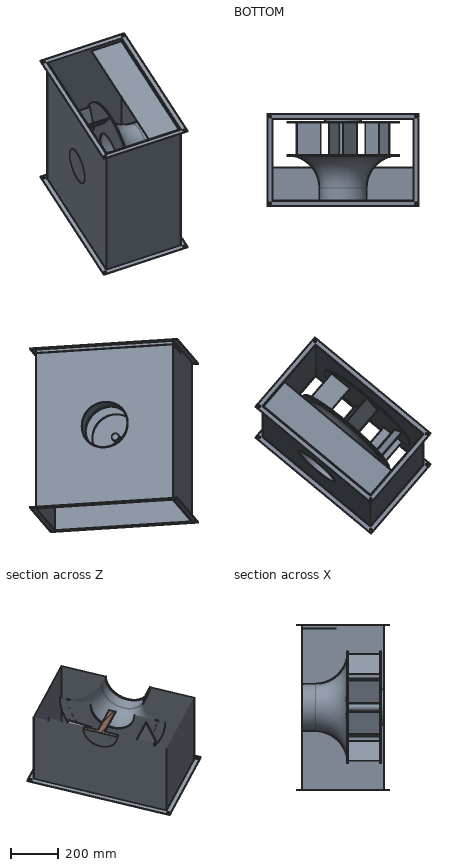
import cadquery as cq
import math

height = 700.0
flange_x = 640.0
flange_y = 390.0
flange_thickness = 3.0
duct_x = 598.0
duct_y = 348.0
wall = 3.0
bolt_hole_diameter = 8.5
bolt_hole_inset = 11.0

deck_front_y = 31.5
deck_depth = 15.0

throat_radius = 101.0
disc_radius = 236.5
disc_thickness = 5.5
shroud_back_y = -16.0
backplate_back_y = -156.0
hub_radius = 76.0
shaft_radius = 15.5
blade_count = 6
blade_tip_radius = 225.5
blade_inner_x = -59.0
blade_inner_z = 141.5
blade_thickness = 3.0

inner_x = duct_x - 2 * wall
inner_y = duct_y - 2 * wall
shroud_front_y = shroud_back_y - disc_thickness
backplate_front_y = backplate_back_y - disc_thickness
flare_radius = disc_radius - throat_radius
flare_center_y = shroud_front_y + flare_radius + wall
throat_bore_radius = throat_radius - wall


def cylinder_along_y(radius, y_start, y_end):
    return cq.Workplane("XZ", origin=(0, y_start, 0)).circle(radius).extrude(y_start - y_end)


def make_casing():
    """Rectangular duct with a drilled flange at each end, open right through."""
    casing = cq.Workplane("XY").box(duct_x, duct_y, height)
    flange_z = (height - flange_thickness) / 2
    for z in (-flange_z, flange_z):
        flange = (
            cq.Workplane("XY")
            .box(flange_x, flange_y, flange_thickness)
            .faces(">Z")
            .workplane()
            .rect(flange_x - 2 * bolt_hole_inset, flange_y - 2 * bolt_hole_inset, forConstruction=True)
            .vertices()
            .hole(bolt_hole_diameter)
        )
        casing = casing.union(flange.translate((0, 0, z)))
    return casing.cut(cq.Workplane("XY").box(inner_x, inner_y, height))


def make_deck():
    """Horizontal plate running from the rear wall towards the fan wheel."""
    deck_y = duct_y / 2 - wall / 2 - deck_front_y
    deck = cq.Workplane("XY").box(duct_x - wall, deck_y, wall)
    return deck.translate((0, deck_front_y + deck_y / 2, height / 2 - deck_depth - wall / 2))


def make_inlet():
    """Pipe from the rear wall, flaring in a quarter arc out to the shroud rim."""
    outer_reach = flare_radius * math.sqrt(0.5)
    inner_reach = (flare_radius + wall) * math.sqrt(0.5)
    return (
        cq.Workplane("XY")
        .moveTo(throat_radius, duct_y / 2)
        .lineTo(throat_radius, flare_center_y)
        .threePointArc(
            (disc_radius - outer_reach, flare_center_y - outer_reach),
            (disc_radius, flare_center_y - flare_radius),
        )
        .lineTo(disc_radius, shroud_front_y)
        .threePointArc(
            (disc_radius - inner_reach, flare_center_y - inner_reach),
            (throat_bore_radius, flare_center_y),
        )
        .lineTo(throat_bore_radius, duct_y / 2)
        .close()
        .revolve(360, (0, 0, 0), (0, 1, 0))
    )


def make_shroud():
    """Flat ring that carries the blades on the inlet side."""
    ring = cylinder_along_y(disc_radius, shroud_back_y, shroud_front_y)
    return ring.cut(cylinder_along_y(throat_bore_radius, shroud_back_y, shroud_front_y))


def make_blade():
    """Flat blade leaning back from the radial direction, between the two discs."""
    lean_z = blade_tip_radius - blade_inner_z
    length = math.hypot(blade_inner_x, lean_z)
    lean_angle = math.degrees(math.atan2(-blade_inner_x, lean_z))
    span = shroud_front_y - backplate_back_y
    mid_point = (
        blade_inner_x / 2,
        (shroud_front_y + backplate_back_y) / 2,
        (blade_tip_radius + blade_inner_z) / 2,
    )
    blade = cq.Workplane("XY").box(blade_thickness, span, length)
    return blade.rotate((0, 0, 0), (0, 1, 0), lean_angle).translate(mid_point)


def make_wheel():
    wheel = make_shroud()
    wheel = wheel.union(cylinder_along_y(disc_radius, backplate_back_y, backplate_front_y))
    wheel = wheel.union(cylinder_along_y(hub_radius, backplate_front_y, -duct_y / 2))
    wheel = wheel.union(cylinder_along_y(shaft_radius, shroud_front_y, backplate_back_y))
    blade = make_blade()
    for index in range(blade_count):
        wheel = wheel.union(blade.rotate((0, 0, 0), (0, 1, 0), index * 360 / blade_count))
    return wheel


inlet_opening = cylinder_along_y(throat_bore_radius, duct_y / 2, duct_y / 2 - wall)
casing = make_casing().cut(inlet_opening)
result = casing.union(make_deck()).union(make_inlet()).union(make_wheel())